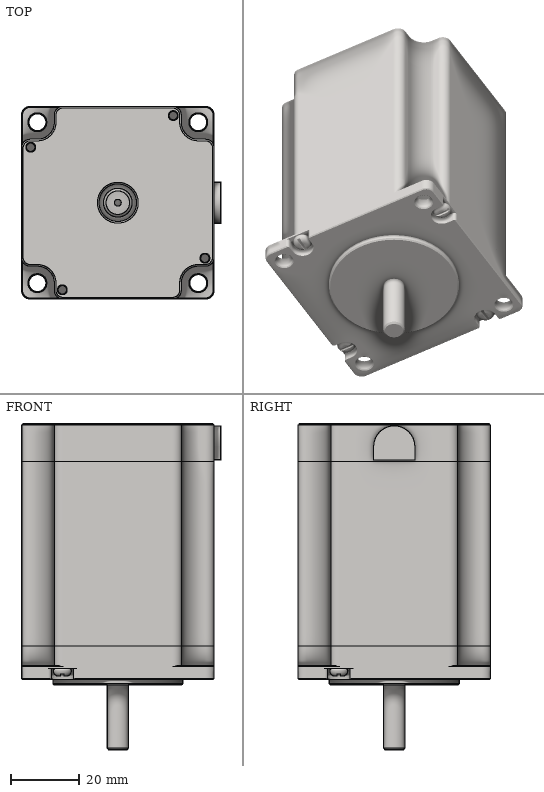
import cadquery as cq
import math


body_width = 56.4
body_height = 74.95
flange_height = 9.75
cover_height = 11.1
cover_chamfer = 0.5

ear_thickness = 4.0
ear_corner_radius = 2.5
ear_chamfer = 0.3
mount_pitch = 47.1
mount_hole_diameter = 5.0
notch_radius = 5.0
notch_edge_radius = 2.5

pilot_diameter = 38.1
pilot_height = 1.6
pilot_chamfer = 0.4

screw_count = 4
screw_side_offset = 16.25
screw_edge_inset = 2.7
thread_hole_diameter = 2.5
thread_chamfer_diameter = 2.9
pocket_width = 6.5
pocket_depth = 3.2
pocket_mouth_radius = 0.9
head_diameter = 5.3
head_height = 2.2
head_rim_radius = 0.6
head_dome_radius = 1.5
head_slot_width = 1.0
head_slot_depth = 0.7

shaft_diameter = 6.3
shaft_reach = 20.65
shaft_tip_chamfer = 0.5
journal_diameter = 8.4
journal_chamfer = 0.8
journal_recess = 3.1
center_hole_diameter = 2.0
center_hole_depth = 1.9

bore_diameter = 11.0
bore_depth = 4.1

connector_width = 12.0
connector_reach = 2.0
connector_drop = 0.7
connector_straight = 3.9

half_width = body_width / 2
half_pitch = mount_pitch / 2
notch_wall = half_pitch - notch_radius
cover_base = body_height - cover_height
screw_x = -screw_side_offset
screw_y = screw_edge_inset - half_width


def cylinder(diameter, bottom, top):
    """Cylinder on the shaft axis between two heights."""
    return cq.Workplane("XY", origin=(0, 0, bottom)).circle(diameter / 2).extrude(top - bottom)


def at_each_screw(shape):
    """Copies of a shape made for the first screw, turned about the shaft axis to every screw."""
    step = 360 / screw_count
    return [shape.rotate((0, 0, 0), (0, 0, 1), i * step) for i in range(screw_count)]


def notched_block(bottom, top):
    """Square block whose four corners are notched around the mounting holes."""
    outline = [
        (-notch_wall, -half_width), (notch_wall, -half_width),
        (notch_wall, -notch_wall), (half_width, -notch_wall),
        (half_width, notch_wall), (notch_wall, notch_wall),
        (notch_wall, half_width), (-notch_wall, half_width),
        (-notch_wall, notch_wall), (-half_width, notch_wall),
        (-half_width, -notch_wall), (-notch_wall, -notch_wall),
    ]
    block = cq.Workplane("XY", origin=(0, 0, bottom)).polyline(outline).close().extrude(top - bottom)
    reach = (notch_wall + half_pitch) / 2
    near_axis = cq.selectors.BoxSelector((-reach, -reach, bottom), (reach, reach, top))
    upright = cq.selectors.StringSyntaxSelector("|Z")
    block = block.edges(upright - near_axis).fillet(notch_edge_radius)
    return block.edges(upright & near_axis).fillet(notch_radius)


def screw_pocket():
    """Round-ended pocket in the mounting face, open to the -Y side with rounded mouth edges."""
    radius = pocket_width / 2
    left = screw_x - radius
    right = screw_x + radius
    mouth_top = -half_width + pocket_mouth_radius
    arc_dx = pocket_mouth_radius * (1 - math.sin(math.pi / 4))
    arc_dy = pocket_mouth_radius * (1 - math.cos(math.pi / 4))
    return (
        cq.Workplane("XY")
        .moveTo(left - pocket_mouth_radius, -half_width)
        .threePointArc((left - arc_dx, -half_width + arc_dy), (left, mouth_top))
        .lineTo(left, screw_y)
        .threePointArc((screw_x, screw_y + radius), (right, screw_y))
        .lineTo(right, mouth_top)
        .threePointArc((right + arc_dx, -half_width + arc_dy), (right + pocket_mouth_radius, -half_width))
        .close()
        .extrude(pocket_depth)
    )


def screw_head():
    """Domed, slotted screw head hanging from the pocket ceiling."""
    head_bottom = pocket_depth - head_height
    head = cylinder(head_diameter, head_bottom, pocket_depth)
    head = head.faces(">Z").edges().fillet(head_rim_radius)
    head = head.faces("<Z").edges().fillet(head_dome_radius)
    slot = (
        cq.Workplane("XY", origin=(0, 0, head_bottom))
        .rect(head_slot_width, head_diameter)
        .extrude(head_slot_depth)
    )
    return head.cut(slot).translate((screw_x, screw_y, 0))


def make_flange():
    """Front flange with ears, pilot boss and its screw heads."""
    ears = cq.Workplane("XY").rect(body_width, body_width).extrude(ear_thickness)
    ears = ears.edges("|Z").fillet(ear_corner_radius)
    ears = (
        ears.faces(">Z").workplane()
        .rect(mount_pitch, mount_pitch, forConstruction=True)
        .vertices()
        .hole(mount_hole_diameter)
    )
    ears = ears.faces("<Z or >Z").chamfer(ear_chamfer)
    flange = ears.union(notched_block(ear_chamfer, flange_height))
    for pocket in at_each_screw(screw_pocket()):
        flange = flange.cut(pocket)
    for head in at_each_screw(screw_head()):
        flange = flange.union(head)
    pilot = cylinder(pilot_diameter, -pilot_height, 0).faces("<Z").chamfer(pilot_chamfer)
    flange = flange.union(pilot)
    return flange.cut(cylinder(shaft_diameter, -pilot_height, flange_height))


def make_stator():
    """Stator stack between flange and cover, with a passage for the shaft."""
    stator = notched_block(flange_height, cover_base)
    return stator.cut(cylinder(journal_diameter, flange_height, cover_base))


def thread_hole():
    """Through hole of the cover for the first screw, with a chamfered rim."""
    rim_depth = (thread_chamfer_diameter - thread_hole_diameter) / 2
    profile = [
        (0, cover_base),
        (thread_hole_diameter / 2, cover_base),
        (thread_hole_diameter / 2, body_height - rim_depth),
        (thread_chamfer_diameter / 2, body_height),
        (0, body_height),
    ]
    hole = cq.Workplane("XZ").polyline(profile).close().revolve(360, (0, 0, 0), (0, 1, 0))
    return hole.translate((screw_x, screw_y, 0))


def make_cover():
    """Rear cover with a bore around the shaft end and four threaded holes."""
    cover = notched_block(cover_base, body_height)
    cover = cover.cut(cylinder(bore_diameter, body_height - bore_depth, body_height))
    cover = cover.faces(">Z").chamfer(cover_chamfer)
    cover = cover.cut(cylinder(journal_diameter, cover_base, body_height))
    for hole in at_each_screw(thread_hole()):
        cover = cover.cut(hole)
    return cover


def make_shaft():
    """Shaft with a thicker journal behind the flange and a center hole in its rear end."""
    journal_top = body_height - journal_recess
    shaft = cylinder(shaft_diameter, -shaft_reach, flange_height).faces("<Z").chamfer(shaft_tip_chamfer)
    journal = cylinder(journal_diameter, flange_height, journal_top).faces(">Z").chamfer(journal_chamfer)
    center_hole = cylinder(center_hole_diameter, journal_top - center_hole_depth, journal_top)
    return shaft.union(journal).cut(center_hole)


def make_connector():
    """Connector block with a half-round top, standing on the +X face of the cover."""
    radius = connector_width / 2
    arc_center_z = body_height - connector_drop - radius
    base_z = arc_center_z - connector_straight
    return (
        cq.Workplane("YZ", origin=(half_width, 0, 0))
        .moveTo(-radius, base_z)
        .lineTo(radius, base_z)
        .lineTo(radius, arc_center_z)
        .threePointArc((0, arc_center_z + radius), (-radius, arc_center_z))
        .close()
        .extrude(connector_reach)
    )


flange = make_flange()
stator = make_stator()
cover = make_cover()
shaft = make_shaft()
connector = make_connector()

result = cq.Compound.makeCompound(
    [flange.val(), stator.val(), cover.val(), shaft.val(), connector.val()]
)